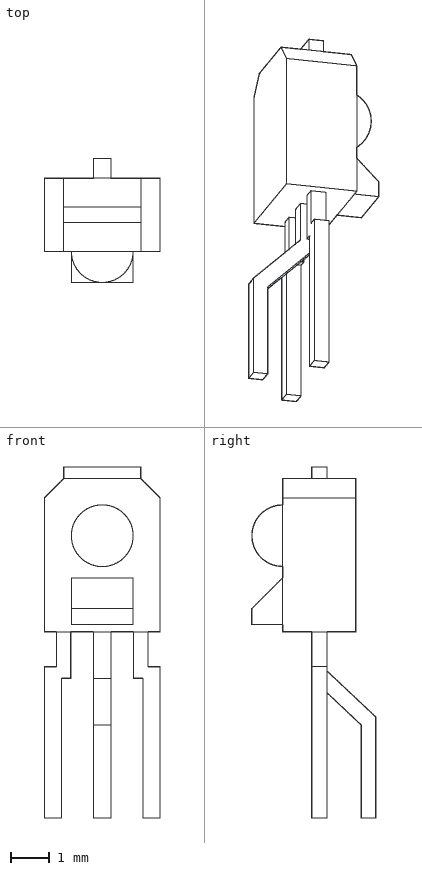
import cadquery as cq

total_height = 9.1
body_bottom = 4.82
body_top = 8.8

body_width = 3.0
body_depth = 1.9
corner_chamfer = 0.5
front_y = -body_depth / 2

tab_width = body_width - 2 * corner_chamfer
tab_depth = 0.4

front_projection = 0.8
lens_z = 7.32
wedge_width = 2 * front_projection
wedge_bottom = 5.01
wedge_edge_height = 0.41

lead_thickness = tab_depth
half_thickness = lead_thickness / 2
side_lead_outer = body_width / 2
side_lead_width = 0.45
neck_outer = 1.19
neck_inner = 0.81
shoulder_top = 3.92
shoulder_bottom = 3.62
center_lead_width = 0.46
bent_lead_front = 1.08
bent_lead_back = 1.465
bend_top_front = shoulder_bottom
bend_top_back = 3.81
bend_bottom_front = 2.41
bend_bottom_back = 2.62


def make_body():
    """Block with its two upper side edges chamfered."""
    height = body_top - body_bottom
    block = cq.Workplane("XY").box(body_width, body_depth, height, centered=(True, True, False))
    return block.edges("|Y and >Z").chamfer(corner_chamfer).translate((0, 0, body_bottom))


def make_tab():
    height = total_height - body_top
    tab = cq.Workplane("XY").box(tab_width, tab_depth, height, centered=(True, True, False))
    return tab.translate((0, 0, body_top))


def make_lens():
    """Sphere centred on the front face, so that half of it projects."""
    return cq.Workplane("XY").sphere(front_projection).translate((0, front_y, lens_z))


def make_wedge():
    """Ledge below the lens with a 45 degree upper face."""
    tip_y = front_y - front_projection
    edge_top = wedge_bottom + wedge_edge_height
    profile = [
        (front_y, wedge_bottom),
        (tip_y, wedge_bottom),
        (tip_y, edge_top),
        (front_y, edge_top + front_projection),
    ]
    return cq.Workplane("YZ").polyline(profile).close().extrude(wedge_width / 2, both=True)


def make_side_lead(side):
    """Flat lead that steps outward below its neck; side is -1 or 1."""
    side_lead_inner = side_lead_outer - side_lead_width
    profile = [
        (neck_inner, body_bottom),
        (neck_outer, body_bottom),
        (neck_outer, shoulder_top),
        (side_lead_outer, shoulder_top),
        (side_lead_outer, 0),
        (side_lead_inner, 0),
        (side_lead_inner, shoulder_bottom),
        (neck_inner, shoulder_bottom),
    ]
    points = [(side * x, z) for x, z in profile]
    return cq.Workplane("XZ").polyline(points).close().extrude(half_thickness, both=True)


def make_center_lead():
    """Lead bent toward the back, then straight down."""
    profile = [
        (-half_thickness, body_bottom),
        (-half_thickness, bend_top_front),
        (bent_lead_front, bend_bottom_front),
        (bent_lead_front, 0),
        (bent_lead_back, 0),
        (bent_lead_back, bend_bottom_back),
        (half_thickness, bend_top_back),
        (half_thickness, body_bottom),
    ]
    return cq.Workplane("YZ").polyline(profile).close().extrude(center_lead_width / 2, both=True)


result = make_body().union(make_tab()).union(make_lens()).union(make_wedge())
for side in (-1, 1):
    result = result.union(make_side_lead(side))
result = result.union(make_center_lead())